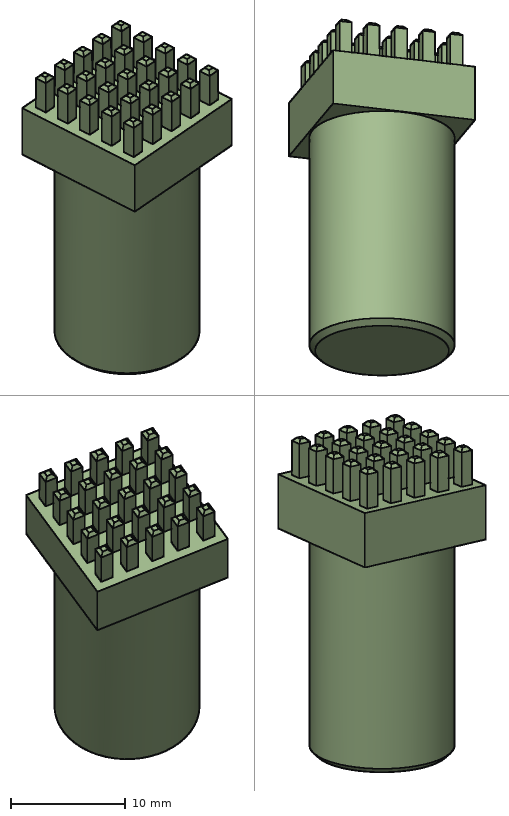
import cadquery as cq

total_height = 28.5
block_side = 13.0

body_diameter = 12.7
body_height = 20.0
body_chamfer = 0.5

block_height = 5.02

pins_per_side = 5
pin_pitch = 2.55
pin_side = 1.15
pin_tip_chamfer = 0.3
block_top = body_height + block_height
pin_height = total_height - block_top


def make_body():
    """Cylinder standing on Z = 0 with its bottom edge chamfered."""
    return (
        cq.Workplane("XY")
        .circle(body_diameter / 2)
        .extrude(body_height)
        .faces("<Z")
        .chamfer(body_chamfer)
    )


def make_block():
    """Square block resting on the body."""
    return (
        cq.Workplane("XY")
        .workplane(offset=body_height)
        .rect(block_side, block_side)
        .extrude(block_height)
    )


def make_pins():
    """Square grid of pins with chamfered tips, rising from the block."""
    return (
        cq.Workplane("XY")
        .workplane(offset=block_top)
        .rarray(pin_pitch, pin_pitch, pins_per_side, pins_per_side)
        .rect(pin_side, pin_side)
        .extrude(pin_height)
        .faces(">Z")
        .chamfer(pin_tip_chamfer)
    )


result = make_body().union(make_block()).union(make_pins())